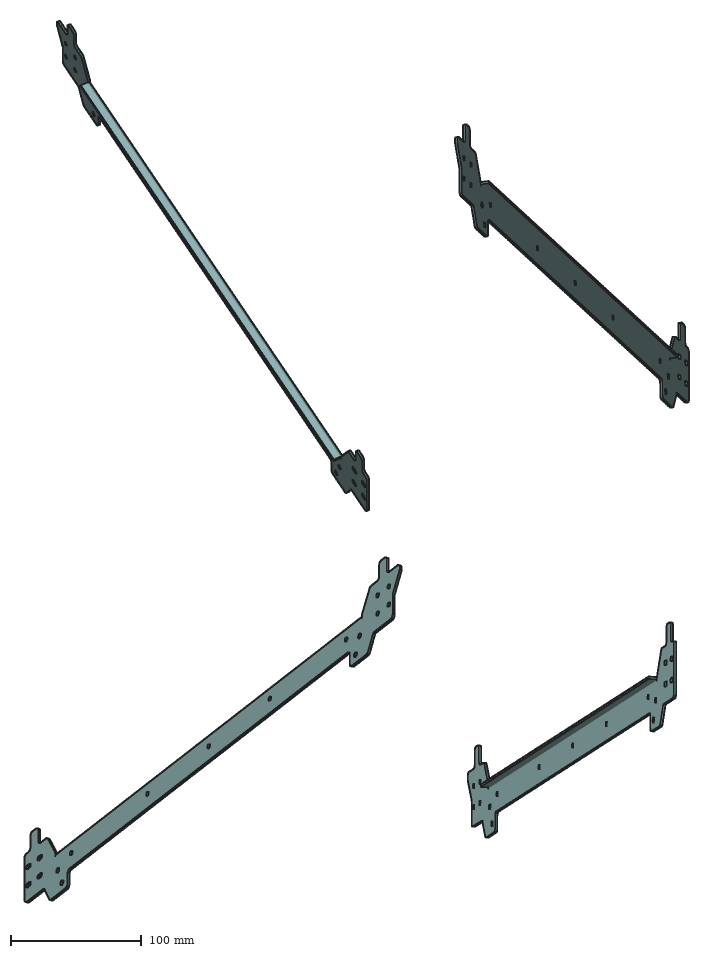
import cadquery as cq


overall_length = 492.0
overall_height = 76.5
sheet = 2.0
flange_depth = 8.5
inner_bend = 1.0
outer_bend = inner_bend + sheet
flange_half_length = 200.5

foot_bottom = -15.3
tab_top = foot_bottom + overall_height
shoulder = 45.0
web_top = 24.5

foot_inner = 185.0
foot_outer_bottom = 208.0
foot_outer_top = 216.0
slope_bottom = flange_half_length
slope_top = 211.5
tab_inner = 223.5
tab_width = 10.5
tab_outer = tab_inner + tab_width

left_end = 250.5
right_end = overall_length - left_end
left_lower_end = 241.0
left_taper_top = 39.0
left_taper_bottom = 21.0

corner_radius = 3.0
right_lower_radius = 4.0

web_hole_diameter = 3.5
web_hole_height = 13.5
web_hole_offsets = (0, 80.0, 180.0)
mount_hole_diameter = 3.5
mount_slot_length = 6.0
mount_columns = (221.5, 236.0)
mount_rows = (15.0, 31.5)
foot_hole_diameter = 4.0
foot_holes = ((198.0, 7.0), (192.5, -7.5))


def end_half(side, outer_corners):
    """Corners of one end, from the slope at the web around the outer end to the foot."""
    inner = [(slope_bottom, web_top), (slope_top, shoulder), (tab_inner, shoulder),
             (tab_inner, tab_top), (tab_outer, tab_top), (tab_outer, shoulder)]
    foot = [(foot_outer_top, 0), (foot_outer_bottom, foot_bottom),
            (foot_inner, foot_bottom), (foot_inner, 0)]
    return [(side * x, z) for x, z in inner + outer_corners + foot]


def make_plate():
    left_outer = [(left_end, shoulder), (left_end, left_taper_top),
                  (left_lower_end, left_taper_bottom), (left_lower_end, 0)]
    right_outer = [(right_end, shoulder), (right_end, 0)]
    left = end_half(-1, left_outer)
    right = end_half(1, right_outer)
    corners = right + left[::-1]
    plate = cq.Workplane("XZ").polyline(corners).close().extrude(sheet)
    for x, z in corners:
        beside_flange = z == web_top
        foot_notch = abs(x) == foot_outer_top
        if beside_flange or foot_notch:
            continue
        radius = right_lower_radius if (x, z) == (right_end, 0) else corner_radius
        corner = cq.selectors.NearestToPointSelector((x, -sheet / 2, z))
        plate = plate.edges("|Y").edges(corner).fillet(radius)
    return plate


def make_bend_clearance():
    """Block above the bend tangent, removed from the plate where the flange curls forward."""
    return (cq.Workplane("XZ")
            .center(0, web_top - outer_bend / 2)
            .rect(2 * flange_half_length, outer_bend)
            .extrude(sheet))


def make_flange():
    bend_start = web_top - outer_bend
    return (cq.Workplane("YZ", origin=(-flange_half_length, 0, 0))
            .moveTo(0, bend_start)
            .radiusArc((-outer_bend, web_top), -outer_bend)
            .lineTo(-flange_depth, web_top)
            .lineTo(-flange_depth, web_top - sheet)
            .lineTo(-outer_bend, web_top - sheet)
            .radiusArc((-sheet, bend_start), inner_bend)
            .close()
            .extrude(2 * flange_half_length))


def make_holes():
    web_points = [(side * x, web_hole_height) for x in web_hole_offsets for side in (-1, 1)]
    foot_points = [(side * x, z) for x, z in foot_holes for side in (-1, 1)]
    mount_points = [(x, z) for x in mount_columns for z in mount_rows]
    round_mounts = [(-x, z) for x, z in mount_points]
    web = cq.Workplane("XZ").pushPoints(sorted(set(web_points))).circle(web_hole_diameter / 2)
    feet = cq.Workplane("XZ").pushPoints(foot_points).circle(foot_hole_diameter / 2)
    mounts = cq.Workplane("XZ").pushPoints(round_mounts).circle(mount_hole_diameter / 2)
    slots = cq.Workplane("XZ").pushPoints(mount_points).slot2D(mount_slot_length, mount_hole_diameter)
    return [profile.extrude(sheet) for profile in (web, feet, mounts, slots)]


result = make_plate().cut(make_bend_clearance()).union(make_flange())
for holes in make_holes():
    result = result.cut(holes)